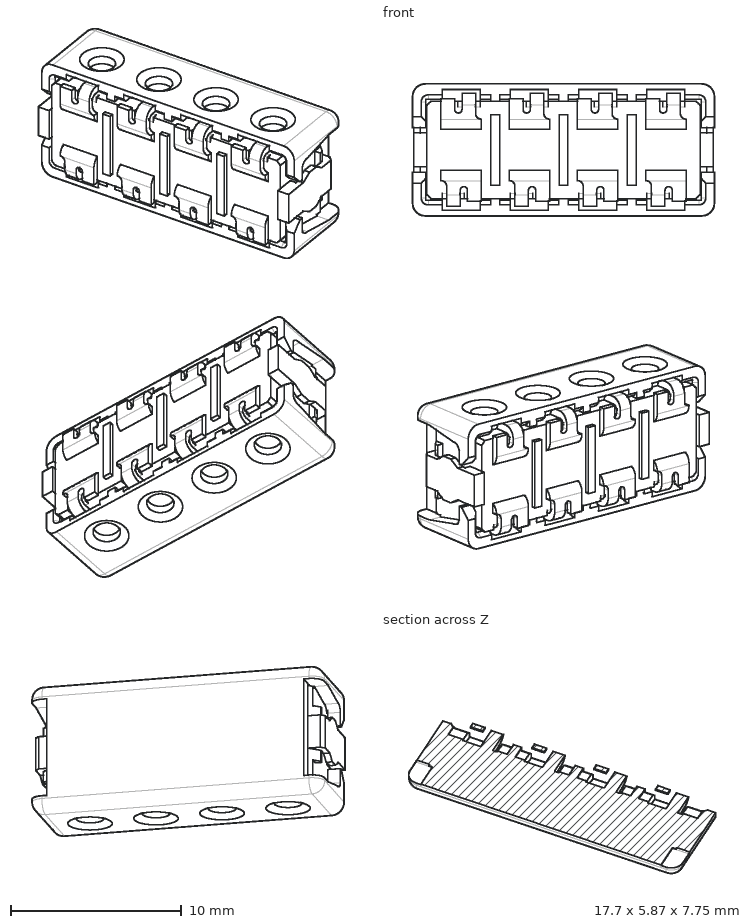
import cadquery as cq
import math


LENGTH = 17.7
HEIGHT = 7.75
DEPTH = 5.3
SHELL_RADIUS = 0.76
MOUTH_LENGTH = 16.67
MOUTH_HEIGHT = 6.45
MOUTH_RADIUS = 0.4
MOUTH_CHAMFER = 0.27
GAP_DEPTH = 0.87

PITCH = 4.0
CONTACT_COUNT = 4

CORE_HALF_LENGTH = 8.02
CORE_HALF_HEIGHT = 2.85
CORE_PROUD = 0.21
CORE_CHAMFER = 0.25
RIB_WIDTH = 0.51
RIB_HEIGHT = 4.12
RIB_PROUD = 0.48
BRIDGE_WIDTH = 0.55

HOLE_DIAMETER = 1.6
CONE_DIAMETER = 2.6
CONE_DEPTH = 0.28
HOLE_DEPTH = 0.8
HOLE_Y = 2.09

WINDOW_HALF_HEIGHT = 2.95
WINDOW_TAPER_START = 3.72
WINDOW_TAPER_END = 1.42
WINDOW_TAPER_HALF_HEIGHT = 2.55
HOOK_BACK = GAP_DEPTH
HOOK_CORNER_HALF_HEIGHT = 2.16
HOOK_TIP = 0.64
HOOK_TIP_HALF_HEIGHT = 1.31
BACK_PLATE_START = 4.3

TAB_OUTER = 8.78
TAB_INNER = 8.4
TAB_BACK = 4.05
TAB_HALF_HEIGHT = 1.0
BUMP_HALF_HEIGHT = 1.36
BUMP_FOOT_FRONT = 1.1
BUMP_TOP_FRONT = 1.75
BUMP_TOP_BACK = 2.46
BUMP_FOOT_BACK = 3.05
WEDGE_HALF_HEIGHT = 1.66
WEDGE_FRONT = 3.45
WEDGE_CREST_BACK = 3.68

CORE_BACK = WEDGE_CREST_BACK + TAB_INNER - CORE_HALF_LENGTH
BACK_PLATE_HALF_LENGTH = TAB_INNER - (BACK_PLATE_START - WEDGE_CREST_BACK)

CONTACT_PROUD = 0.57
PLATE_LEFT = -1.19
PLATE_RIGHT = 0.85
PLATE_TOP = 3.01
PLATE_BOTTOM = 1.8
LIP_HALF_WIDTH = 1.19
LIP_BOTTOM = 1.2
SLOT_LEFT = -0.37
SLOT_RIGHT = 0.05
SLOT_END = 2.16
CORNER_RADIUS = 0.32
LEAF_RADIUS = 0.67
LEAF_AXIS_Z = 2.64
LEAF_AXIS_Y = LEAF_RADIUS - CONTACT_PROUD
POCKET_HALF_WIDTH = 1.12
POCKET_TOP = 3.54
POCKET_RADIUS = POCKET_TOP - LEAF_AXIS_Z
RELIEF_LEFT = -0.2
RELIEF_RADIUS = 0.32

OVERLAP = 0.18


def block(x_range, y_range, z_range):
    """Box given by its limits along each axis."""
    limits = (x_range, y_range, z_range)
    sizes = [high - low for low, high in limits]
    corner = tuple(low for low, high in limits)
    return cq.Workplane("XY").box(*sizes, centered=False).translate(corner)


def half_turn(solid):
    """The same solid turned half way round the Y axis."""
    return solid.rotate((0, 0, 0), (0, 1, 0), 180)


def side_profile(x):
    """Plane for outlines drawn in (Y, Z) and extruded toward +X."""
    return cq.Workplane("YZ", origin=(x, 0, 0))


def front_profile(y):
    """Plane for outlines drawn in (X, Z) and extruded toward -Y."""
    return cq.Workplane("XZ", origin=(0, y, 0))


def plan_profile(z):
    """Plane for outlines drawn in (X, Y) and extruded toward +Z."""
    return cq.Workplane("XY", origin=(0, 0, z))


def spaced(count):
    """X places of features centred on the part and one pitch apart."""
    return [(i - (count - 1) / 2) * PITCH for i in range(count)]


def shell():
    body = front_profile(DEPTH).rect(LENGTH, HEIGHT).extrude(DEPTH)
    return body.edges("|Y").fillet(SHELL_RADIUS).faces(">Y").edges().fillet(SHELL_RADIUS)


def mouth():
    """Chamfered opening with a narrow gap round the core, left uncut at the bridges between contacts."""
    gap_length = MOUTH_LENGTH - 2 * MOUTH_CHAMFER
    gap_height = MOUTH_HEIGHT - 2 * MOUTH_CHAMFER
    outline = cq.Sketch().rect(MOUTH_LENGTH, MOUTH_HEIGHT).vertices().fillet(MOUTH_RADIUS)
    opening = front_profile(0).placeSketch(outline).extrude(-MOUTH_CHAMFER, taper=45)
    opening = opening.union(front_profile(0).rect(gap_length, gap_height).extrude(-GAP_DEPTH))
    for x in spaced(CONTACT_COUNT - 1):
        bridge_x = (x - BRIDGE_WIDTH / 2, x + BRIDGE_WIDTH / 2)
        opening = opening.cut(block(bridge_x, (0, GAP_DEPTH), (-HEIGHT / 2, HEIGHT / 2)))
    return opening


def core():
    front = front_profile(GAP_DEPTH).rect(2 * CORE_HALF_LENGTH, 2 * CORE_HALF_HEIGHT)
    front = front.extrude(GAP_DEPTH + CORE_PROUD).edges("|Y").chamfer(CORE_CHAMFER)
    for x in spaced(CONTACT_COUNT - 1):
        rib_x = (x - RIB_WIDTH / 2, x + RIB_WIDTH / 2)
        front = front.union(block(rib_x, (-RIB_PROUD, 0), (-RIB_HEIGHT / 2, RIB_HEIGHT / 2)))
    return front


def wire_hole(x):
    top = HEIGHT / 2
    hole = plan_profile(top - HOLE_DEPTH).center(x, HOLE_Y).circle(HOLE_DIAMETER / 2).extrude(HOLE_DEPTH)
    cone = (
        plan_profile(top).center(x, HOLE_Y).circle(CONE_DIAMETER / 2)
        .workplane(offset=-CONE_DEPTH).circle(HOLE_DIAMETER / 2).loft()
    )
    return hole.union(cone)


def end_window():
    """Cutter for the -X end: opens the end wall, leaving two snap hooks at the front."""
    corner_run = WINDOW_TAPER_END - HOOK_BACK
    corner_rise = WINDOW_TAPER_HALF_HEIGHT - HOOK_CORNER_HALF_HEIGHT
    corner_middle = (
        WINDOW_TAPER_END - corner_run * math.sin(math.pi / 4),
        HOOK_CORNER_HALF_HEIGHT + corner_rise * math.sin(math.pi / 4),
    )
    upper = (
        side_profile(-LENGTH / 2 - OVERLAP)
        .moveTo(DEPTH + OVERLAP, 0)
        .lineTo(DEPTH + OVERLAP, WINDOW_HALF_HEIGHT)
        .lineTo(WINDOW_TAPER_START, WINDOW_HALF_HEIGHT)
        .lineTo(WINDOW_TAPER_END, WINDOW_TAPER_HALF_HEIGHT)
        .threePointArc(corner_middle, (HOOK_BACK, HOOK_CORNER_HALF_HEIGHT))
        .lineTo(HOOK_BACK, HOOK_TIP_HALF_HEIGHT)
        .lineTo(HOOK_TIP, HOOK_TIP_HALF_HEIGHT)
        .lineTo(0, HOOK_TIP_HALF_HEIGHT + HOOK_TIP)
        .lineTo(0, 0)
        .close()
        .extrude(LENGTH / 2 + OVERLAP - CORE_HALF_LENGTH)
    )
    back_step = block(
        (-CORE_HALF_LENGTH, -BACK_PLATE_HALF_LENGTH),
        (WINDOW_TAPER_START, DEPTH + OVERLAP),
        (-WINDOW_HALF_HEIGHT, WINDOW_HALF_HEIGHT),
    )
    core_slope = (
        plan_profile(-CORE_HALF_HEIGHT)
        .polyline([
            (-CORE_HALF_LENGTH, WINDOW_TAPER_START),
            (-CORE_HALF_LENGTH, CORE_BACK),
            (-BACK_PLATE_HALF_LENGTH, BACK_PLATE_START),
            (-BACK_PLATE_HALF_LENGTH, WINDOW_TAPER_START),
        ])
        .close()
        .extrude(2 * CORE_HALF_HEIGHT)
    )
    return upper.union(upper.mirror("XY")).union(back_step.cut(core_slope))


def end_tab():
    """Spring tab at the -X end, joined to the core at its front and by a wedge at its back."""
    half_outline = [
        (TAB_BACK, TAB_HALF_HEIGHT),
        (BUMP_FOOT_BACK, TAB_HALF_HEIGHT),
        (BUMP_TOP_BACK, BUMP_HALF_HEIGHT),
        (BUMP_TOP_FRONT, BUMP_HALF_HEIGHT),
        (BUMP_FOOT_FRONT, TAB_HALF_HEIGHT),
        (-RIB_PROUD, TAB_HALF_HEIGHT),
    ]
    mirrored = [(y, -z) for y, z in reversed(half_outline)]
    arm = side_profile(-TAB_OUTER).polyline(half_outline + mirrored).close().extrude(TAB_OUTER - TAB_INNER)

    root_x = (-TAB_OUTER, -CORE_HALF_LENGTH)
    root = block(root_x, (-RIB_PROUD, HOOK_BACK), (-TAB_HALF_HEIGHT, TAB_HALF_HEIGHT))
    heel = (
        plan_profile(-TAB_HALF_HEIGHT)
        .polyline([
            (-TAB_OUTER, WEDGE_FRONT),
            (-TAB_OUTER, TAB_BACK),
            (-TAB_OUTER + BACK_PLATE_START - TAB_BACK, BACK_PLATE_START),
            (-BACK_PLATE_HALF_LENGTH, BACK_PLATE_START),
            (-BACK_PLATE_HALF_LENGTH, WEDGE_FRONT),
        ])
        .close()
        .extrude(2 * TAB_HALF_HEIGHT)
    )
    wedge = (
        plan_profile(-WEDGE_HALF_HEIGHT)
        .polyline([
            (-TAB_INNER, WEDGE_FRONT),
            (-TAB_INNER, WEDGE_CREST_BACK),
            (-CORE_HALF_LENGTH, CORE_BACK),
            (-BACK_PLATE_HALF_LENGTH, CORE_BACK),
            (-BACK_PLATE_HALF_LENGTH, WEDGE_FRONT),
        ])
        .close()
        .extrude(2 * WEDGE_HALF_HEIGHT)
    )
    return arm.union(root).union(heel).union(wedge)


def contact_clearance(x):
    """Rounded pocket in the shell over a contact."""
    pocket = (
        side_profile(x - POCKET_HALF_WIDTH)
        .center(LEAF_AXIS_Y, LEAF_AXIS_Z)
        .circle(POCKET_RADIUS)
        .extrude(2 * POCKET_HALF_WIDTH)
    )
    above_core = block((-LENGTH, LENGTH), (-DEPTH, DEPTH), (CORE_HALF_HEIGHT, HEIGHT))
    return pocket.intersect(above_core)


def edge_relief(x):
    """Rounding of the core's front edge under the bent leaf."""
    front = -CORE_PROUD
    axis_z = CORE_HALF_HEIGHT - RELIEF_RADIUS
    turn = RELIEF_RADIUS * math.sin(math.pi / 4)
    return (
        side_profile(x + RELIEF_LEFT)
        .moveTo(front, axis_z)
        .threePointArc(
            (front + RELIEF_RADIUS - turn, axis_z + turn),
            (front + RELIEF_RADIUS, CORE_HALF_HEIGHT),
        )
        .lineTo(front, CORE_HALF_HEIGHT)
        .close()
        .extrude(POCKET_HALF_WIDTH - RELIEF_LEFT)
    )


def contact(x):
    """Slotted plate with a curved lower lip and one leaf bent back into the shell."""
    thickness = CONTACT_PROUD - CORE_PROUD
    slot_radius = (SLOT_RIGHT - SLOT_LEFT) / 2
    slot_middle = (SLOT_LEFT + SLOT_RIGHT) / 2
    corner_bulge = CORNER_RADIUS * (1 - math.sin(math.pi / 4))
    plate = (
        front_profile(-CORE_PROUD)
        .moveTo(PLATE_LEFT, PLATE_BOTTOM)
        .lineTo(PLATE_LEFT, PLATE_TOP)
        .lineTo(SLOT_LEFT, PLATE_TOP)
        .lineTo(SLOT_LEFT, SLOT_END + slot_radius)
        .threePointArc((slot_middle, SLOT_END), (SLOT_RIGHT, SLOT_END + slot_radius))
        .lineTo(SLOT_RIGHT, LEAF_AXIS_Z)
        .lineTo(PLATE_RIGHT, LEAF_AXIS_Z)
        .lineTo(PLATE_RIGHT, PLATE_BOTTOM + CORNER_RADIUS)
        .threePointArc(
            (PLATE_RIGHT + corner_bulge, PLATE_BOTTOM + corner_bulge),
            (PLATE_RIGHT + CORNER_RADIUS, PLATE_BOTTOM),
        )
        .close()
        .extrude(thickness)
    )

    lip_height = PLATE_BOTTOM - LIP_BOTTOM
    lip_radius = (lip_height**2 + thickness**2) / (2 * thickness)
    lip_axis = (lip_radius - CONTACT_PROUD, PLATE_BOTTOM)
    lip = (
        side_profile(-LIP_HALF_WIDTH).center(*lip_axis).circle(lip_radius).extrude(2 * LIP_HALF_WIDTH)
        .intersect(block((-LENGTH, LENGTH), (-CONTACT_PROUD, -CORE_PROUD), (LIP_BOTTOM, PLATE_BOTTOM)))
    )

    turn = LEAF_RADIUS * math.sin(math.pi / 4)
    leaf_back = LEAF_AXIS_Y + POCKET_RADIUS + OVERLAP
    leaf = (
        side_profile(SLOT_RIGHT)
        .moveTo(-CONTACT_PROUD, LEAF_AXIS_Z)
        .threePointArc(
            (LEAF_AXIS_Y - turn, LEAF_AXIS_Z + turn),
            (LEAF_AXIS_Y, LEAF_AXIS_Z + LEAF_RADIUS),
        )
        .lineTo(leaf_back, LEAF_AXIS_Z + LEAF_RADIUS)
        .lineTo(leaf_back, LEAF_AXIS_Z)
        .close()
        .extrude(PLATE_RIGHT - SLOT_RIGHT)
    )
    return plate.union(lip).union(leaf).translate((x, 0, 0))


def both_sides(solid):
    return solid.union(half_turn(solid))


result = shell().cut(mouth()).cut(both_sides(end_window()))
result = result.union(core()).union(both_sides(end_tab()))
for contact_x in spaced(CONTACT_COUNT):
    for cutter in (wire_hole(contact_x), contact_clearance(contact_x), edge_relief(contact_x)):
        result = result.cut(cutter).cut(half_turn(cutter))
for contact_x in spaced(CONTACT_COUNT):
    upper_contact = contact(contact_x)
    result = result.union(upper_contact).union(half_turn(upper_contact))